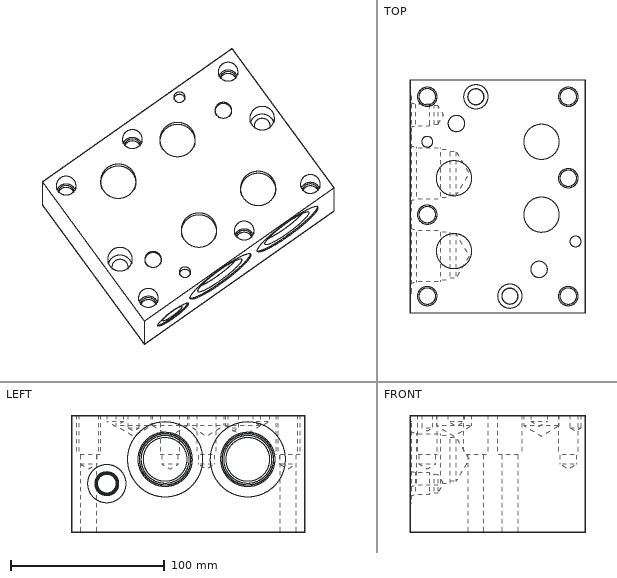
import cadquery as cq
import math

LENGTH_X = 114.3
LENGTH_Y = 152.4
HEIGHT = 76.2
TOP = HEIGHT / 2
PORT_FACE_X = -LENGTH_X / 2

DRILL_POINT_ANGLE = 118.0

BOLT_X = 46.04
BOLT_Y = 65.09
ROW_SPACING = 23.8
INNER_ROW_Y = ROW_SPACING / 2
OUTER_ROW_Y = INNER_ROW_Y + ROW_SPACING

BOLT_POINTS = [
    (-BOLT_X, BOLT_Y),
    (BOLT_X, BOLT_Y),
    (BOLT_X, INNER_ROW_Y),
    (-BOLT_X, -INNER_ROW_Y),
    (-BOLT_X, -BOLT_Y),
    (BOLT_X, -BOLT_Y),
]
BOLT_THREAD_DIA = 12.7
BOLT_DRILL_DIA = 10.72
BOLT_THREAD_DEPTH = 25.4
BOLT_DRILL_DEPTH = 31.75

FLOW_X = 28.57
FLOW_POINTS = [
    (FLOW_X, OUTER_ROW_Y),
    (-FLOW_X, INNER_ROW_Y),
    (FLOW_X, -INNER_ROW_Y),
    (-FLOW_X, -OUTER_ROW_Y),
]
FLOW_DIA = 23.01
FLOW_DEPTH = 6.6

PILOT_X = 27.0
PILOT_Y = 47.6
PILOT_POINTS = [(-PILOT_X, PILOT_Y), (PILOT_X, -PILOT_Y)]
PILOT_DIA = 10.72
PILOT_DEPTH = 3.8

FAR_PIN_X = 50.8
FAR_PIN_Y = -29.4
PIN_POINTS = [(-BOLT_X, OUTER_ROW_Y), (FAR_PIN_X, FAR_PIN_Y)]
PIN_DIA = 7.14
PIN_DEPTH = 8.0

CLAMP_LEFT_X = -14.3
CLAMP_RIGHT_X = 7.94
CLAMP_POINTS = [(CLAMP_LEFT_X, BOLT_Y), (CLAMP_RIGHT_X, -BOLT_Y)]
CLAMP_DIA = 10.31
CLAMP_BORE_DIA = 15.88
CLAMP_BORE_DEPTH = 25.4

SPOTFACE_DEPTH = 0.79

LARGE_PORT_Z = 9.53
LARGE_PORT_SPACING = 53.98
FIRST_LARGE_PORT_Y = 15.1
LARGE_PORT_POINTS = [
    (FIRST_LARGE_PORT_Y, LARGE_PORT_Z),
    (FIRST_LARGE_PORT_Y - LARGE_PORT_SPACING, LARGE_PORT_Z),
]
LARGE_SPOTFACE_DIA = 49.12
LARGE_SEAT_MOUTH_DIA = 35.5
LARGE_SEAT_END_DIA = 33.76
LARGE_SEAT_DEPTH = 4.2
LARGE_THREAD_DIA = 33.34
LARGE_THREAD_DEPTH = 19.84
LARGE_MINOR_DIA = 31.27
LARGE_MINOR_DEPTH = 26.0
LARGE_DRILL_DIA = 28.57
LARGE_DRILL_DEPTH = 30.0

SMALL_PORT_Y = 53.18
SMALL_PORT_Z = -6.35
SMALL_PORT_POINTS = [(SMALL_PORT_Y, SMALL_PORT_Z)]
SMALL_SPOTFACE_DIA = 25.02
SMALL_SEAT_MOUTH_DIA = 15.6
SMALL_SEAT_END_DIA = 14.53
SMALL_SEAT_DEPTH = 3.4
SMALL_THREAD_DIA = 14.28
SMALL_THREAD_DEPTH = 12.7
SMALL_MINOR_DIA = 12.9
SMALL_MINOR_DEPTH = 15.5
SMALL_DRILL_DIA = 12.29
SMALL_DRILL_DEPTH = 18.0


def drill_point_length(diameter):
    """Height of the cone left by a drill at the bottom of a blind hole."""
    return diameter / 2 / math.tan(math.radians(DRILL_POINT_ANGLE / 2))


def blind_hole(profile):
    """Cutter below Z = 0 from (diameter, depth) corners, ending in a drill point."""
    last_diameter, last_depth = profile[-1]
    tip_depth = last_depth + drill_point_length(last_diameter)
    corners = [(0, 0)]
    corners += [(diameter / 2, -depth) for diameter, depth in profile]
    corners += [(0, -tip_depth)]
    return cq.Workplane("XZ").polyline(corners).close().revolve(360, (0, 0), (0, 1))


def straight_steps(steps, start_depth=0):
    """Corners of stacked cylinders given as (diameter, end depth), from the mouth down."""
    corners = []
    for diameter, end_depth in steps:
        corners += [(diameter, start_depth), (diameter, end_depth)]
        start_depth = end_depth
    return corners


def stepped_hole(*steps):
    """Blind hole of one or more straight (diameter, end depth) steps."""
    return blind_hole(straight_steps(steps))


def threaded_port(spotface_dia, seat_mouth_dia, seat_end_dia, seat_depth, steps):
    """Spotface and tapered seal seat, followed by straight (diameter, end depth) steps."""
    spotface = straight_steps([(spotface_dia, SPOTFACE_DEPTH)])
    seat = [(seat_mouth_dia, SPOTFACE_DEPTH), (seat_end_dia, seat_depth)]
    return blind_hole(spotface + seat + straight_steps(steps, seat_depth))


def large_port():
    steps = [
        (LARGE_THREAD_DIA, LARGE_THREAD_DEPTH),
        (LARGE_MINOR_DIA, LARGE_MINOR_DEPTH),
        (LARGE_DRILL_DIA, LARGE_DRILL_DEPTH),
    ]
    return threaded_port(
        LARGE_SPOTFACE_DIA, LARGE_SEAT_MOUTH_DIA, LARGE_SEAT_END_DIA, LARGE_SEAT_DEPTH, steps
    )


def small_port():
    steps = [
        (SMALL_THREAD_DIA, SMALL_THREAD_DEPTH),
        (SMALL_MINOR_DIA, SMALL_MINOR_DEPTH),
        (SMALL_DRILL_DIA, SMALL_DRILL_DEPTH),
    ]
    return threaded_port(
        SMALL_SPOTFACE_DIA, SMALL_SEAT_MOUTH_DIA, SMALL_SEAT_END_DIA, SMALL_SEAT_DEPTH, steps
    )


def bolt_hole():
    return stepped_hole((BOLT_THREAD_DIA, BOLT_THREAD_DEPTH), (BOLT_DRILL_DIA, BOLT_DRILL_DEPTH))


def cut_in_top(body, cutter, points):
    for x, y in points:
        body = body.cut(cutter.translate((x, y, TOP)))
    return body


def cut_in_port_face(body, cutter, points):
    """Turn the cutter to run along +X and cut it at each (Y, Z) centre."""
    turned = cutter.rotate((0, 0, 0), (0, 1, 0), -90)
    for y, z in points:
        body = body.cut(turned.translate((PORT_FACE_X, y, z)))
    return body


def cut_clamp_holes(body):
    top_plane = body.faces(">Z").workplane(origin=(0, 0, TOP))
    return top_plane.pushPoints(CLAMP_POINTS).cboreHole(CLAMP_DIA, CLAMP_BORE_DIA, CLAMP_BORE_DEPTH)


block = cq.Workplane("XY").box(LENGTH_X, LENGTH_Y, HEIGHT)
block = cut_clamp_holes(block)
block = cut_in_top(block, bolt_hole(), BOLT_POINTS)
block = cut_in_top(block, stepped_hole((FLOW_DIA, FLOW_DEPTH)), FLOW_POINTS)
block = cut_in_top(block, stepped_hole((PILOT_DIA, PILOT_DEPTH)), PILOT_POINTS)
block = cut_in_top(block, stepped_hole((PIN_DIA, PIN_DEPTH)), PIN_POINTS)
block = cut_in_port_face(block, large_port(), LARGE_PORT_POINTS)
block = cut_in_port_face(block, small_port(), SMALL_PORT_POINTS)

result = block